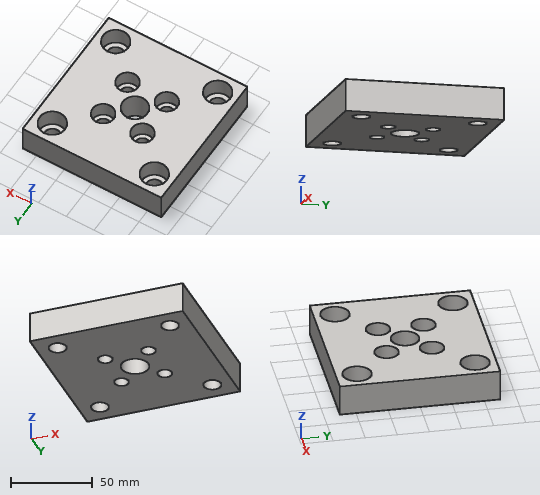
import cadquery as cq

plate_side = 100.0
plate_thickness = 20.0

center_bore_diameter = 17.5

outer_spacing = 73.5
outer_hole_diameter = 11.0
outer_counterbore_diameter = 18.0
outer_counterbore_depth = 13.0

inner_spacing = 28.3
inner_hole_diameter = 9.0
inner_counterbore_diameter = 15.0
inner_counterbore_depth = 11.0


def make_plate():
    """Plate centred on the Z axis with its underside at Z = 0."""
    return cq.Workplane("XY").box(
        plate_side, plate_side, plate_thickness, centered=(True, True, False)
    )


def cut_counterbored_square(body, spacing, hole, counterbore, depth):
    """Cut four through holes on a square grid, counterbored from the top face."""
    return (
        body.faces(">Z")
        .workplane(origin=(0, 0, plate_thickness))
        .rarray(spacing, spacing, 2, 2)
        .cboreHole(hole, counterbore, depth)
    )


result = make_plate()
result = result.faces(">Z").workplane().hole(center_bore_diameter)
result = cut_counterbored_square(
    result,
    outer_spacing,
    outer_hole_diameter,
    outer_counterbore_diameter,
    outer_counterbore_depth,
)
result = cut_counterbored_square(
    result,
    inner_spacing,
    inner_hole_diameter,
    inner_counterbore_diameter,
    inner_counterbore_depth,
)